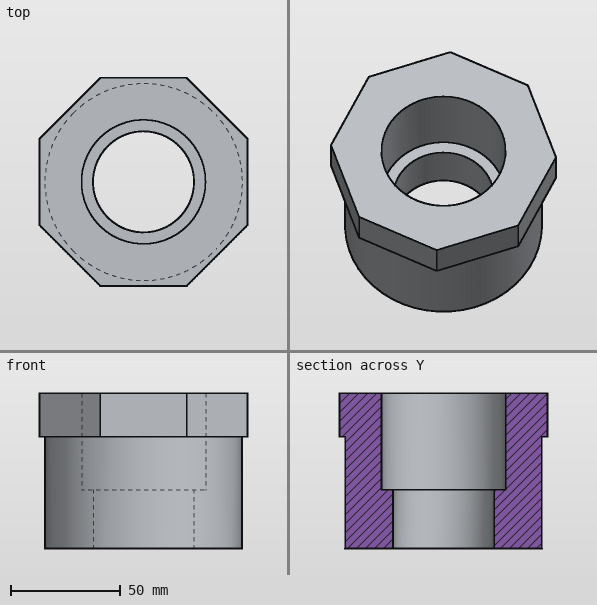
import cadquery as cq
import math

total_height = 71.0
head_across_flats = 95.0
head_height = 20.0
octagon_sides = 8
spigot_diameter = 90.0

socket_diameter = 56.6
socket_depth = 44.0
through_diameter = 46.0

spigot_height = total_height - head_height


def make_spigot():
    """Round lower body, standing on the XY plane."""
    return cq.Workplane("XY").circle(spigot_diameter / 2).extrude(spigot_height)


def make_head():
    """Octagonal head with flats facing the X and Y axes."""
    side_length = head_across_flats * math.tan(math.pi / octagon_sides)
    corner_cut = (head_across_flats - side_length) / 2
    return (
        cq.Workplane("XY")
        .workplane(offset=spigot_height)
        .rect(head_across_flats, head_across_flats)
        .extrude(head_height)
        .edges("|Z")
        .chamfer(corner_cut)
    )


def make_bore():
    """Through hole that widens into a socket at the top."""
    through_hole = cq.Workplane("XY").circle(through_diameter / 2).extrude(total_height)
    socket = (
        cq.Workplane("XY")
        .workplane(offset=total_height - socket_depth)
        .circle(socket_diameter / 2)
        .extrude(socket_depth)
    )
    return through_hole.union(socket)


result = make_spigot().union(make_head()).cut(make_bore())